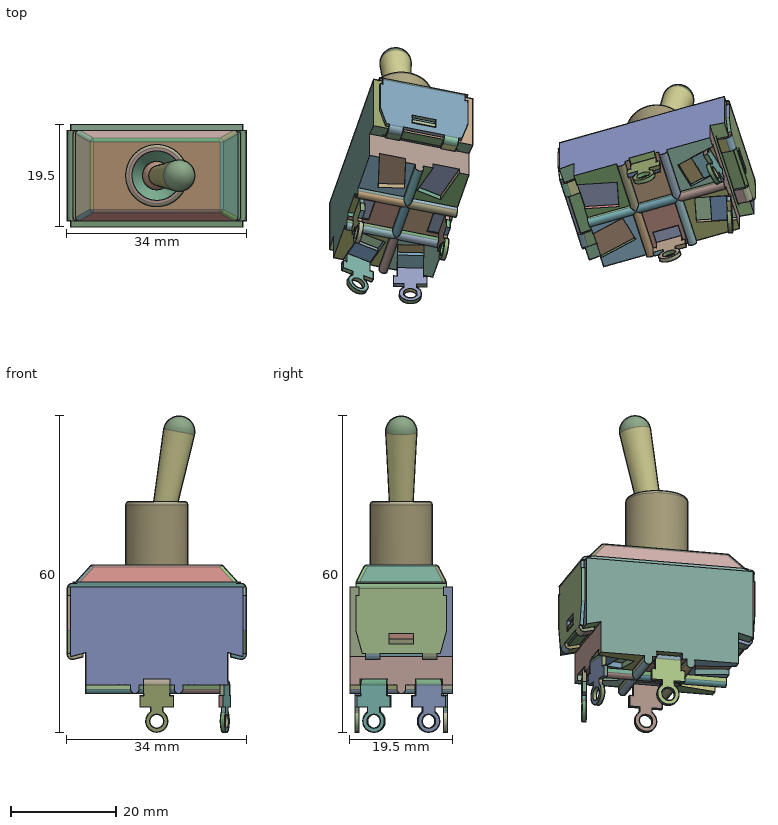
import cadquery as cq
import math


LEVER_TOP = 28.25
TOTAL_HEIGHT = 60.04

BODY_WIDTH = 32.7
BODY_DEPTH = 19.5
BODY_TOP = -4.2
LOWER_WIDTH = 27.0
LOWER_BOTTOM = -22.8
STEP_INNER_Z = -16.7
STEP_OUTER_Z = -17.42
STEP_SLOPE = math.atan2(STEP_INNER_Z - STEP_OUTER_Z, (BODY_WIDTH - LOWER_WIDTH) / 2)

RIB_WIDTH = 1.6
RIB_HEIGHT = 1.65
RIB_X = 4.15

COVER_WIDTH = 34.0
SHEET = (COVER_WIDTH - BODY_WIDTH) / 2
COVER_DEPTH = 17.2
FLANGE_TOP = -3.5
BEND_RADIUS = 1.0
RELIEF_DEPTH = 16.1
RELIEF_BOTTOM = -5.8
TAPER_TOP = -12.5
SKIRT_BOTTOM = -16.85
SKIRT_BOTTOM_DEPTH = 14.8
HOOK_Y = 5.43
HOOK_WIDTH = 2.8
HOOK_TIP_X = 14.0
DOME_BASE = (30.8, COVER_DEPTH)
DOME_TOP = (24.8, 13.8)
DOME_ROUND = 0.85
PAD_LENGTH = 31.8
PAD_TOP = -3.3
PAD_CORNER = 0.8

WINDOW_WIDTH = 4.6
WINDOW_TOP = -13.0
WINDOW_BOTTOM = -15.05
LATCH_TOP = -14.05
LATCH_PROUD = 0.5

BUSHING_RADIUS = 5.9
BUSHING_HEIGHT = 12.0
BUSHING_ROUND = 0.6
MOUTH_RADIUS = 4.7
MOUTH_DEPTH = 2.8
PIVOT_RADIUS = 2.7
PIVOT_Z = 3.0
LEVER_TIP_RADIUS = 3.0
LEVER_ROOT_RADIUS = 1.82
LEVER_TILT = 10.8
LEVER_LENGTH = (LEVER_TOP - LEVER_TIP_RADIUS - PIVOT_Z) / math.cos(math.radians(LEVER_TILT))

LUG_THICKNESS = 0.8
LUG_BEND_RADIUS = 1.1
LUG_TOP = -21.7
LUG_STEM_WIDTH = 5.0
LUG_SHOULDER_WIDTH = 6.4
LUG_SHOULDER_TOP = -24.85
LUG_SHOULDER_BOTTOM = -27.0
LUG_NECK_WIDTH = 2.35
EYE_RADIUS = 2.1
EYE_BLEND = 0.4
EYE_HOLE_RADIUS = 1.3
EYE_Z = LEVER_TOP - TOTAL_HEIGHT + EYE_RADIUS
LUG_LEG = 4.0
SIDE_LUG_Y = 8.8
END_LUG_X = 13.3
END_LUG_Y = 5.27
END_LUG_TILT = 13.0

END_SLOT_WIDTH = LUG_STEM_WIDTH
END_SLOT_DEPTH = 7.1
SIDE_SLOT_DEPTH = 4.0


def box(x0, x1, y0, y1, z0, z1):
    """Box between the given limits along X, Y and Z."""
    return cq.Workplane("XY").box(x1 - x0, y1 - y0, z1 - z0, centered=False).translate((x0, y0, z0))


def make_body():
    upper = BODY_WIDTH / 2
    lower = LOWER_WIDTH / 2
    outline = [
        (-upper, BODY_TOP), (upper, BODY_TOP), (upper, STEP_OUTER_Z), (lower, STEP_INNER_Z),
        (lower, LOWER_BOTTOM), (-lower, LOWER_BOTTOM), (-lower, STEP_INNER_Z), (-upper, STEP_OUTER_Z),
    ]
    return cq.Workplane("XZ").polyline(outline).close().extrude(BODY_DEPTH / 2, both=True)


def make_rib(length):
    """Rib along X under the body, with a half-round lower edge."""
    half = RIB_WIDTH / 2
    round_start = LOWER_BOTTOM - RIB_HEIGHT + half
    return (
        cq.Workplane("YZ")
        .moveTo(-half, LOWER_BOTTOM)
        .lineTo(-half, round_start)
        .threePointArc((0, round_start - half), (half, round_start))
        .lineTo(half, LOWER_BOTTOM)
        .close()
        .extrude(length)
        .translate((-length / 2, 0, 0))
    )


def make_ribs():
    ribs = make_rib(LOWER_WIDTH)
    cross_rib = make_rib(BODY_DEPTH).rotate((0, 0, 0), (0, 0, 1), 90)
    for x in (-RIB_X, RIB_X):
        ribs = ribs.union(cross_rib.translate((x, 0, 0)))
    return ribs


def make_dome():
    """Raised top of the cover, a rounded frustum on a thin pad."""
    dome = (
        cq.Workplane("XY").workplane(offset=PAD_TOP).rect(*DOME_BASE)
        .workplane(offset=-PAD_TOP).rect(*DOME_TOP)
        .loft(ruled=True)
    )
    half_length = PAD_LENGTH / 2
    half_depth = COVER_DEPTH / 2
    pad = box(-half_length, half_length, -half_depth, half_depth, BODY_TOP, PAD_TOP)
    return dome.edges("not <Z").fillet(DOME_ROUND).union(pad.edges("|Z").fillet(PAD_CORNER))


def make_cover_strip():
    """Sheet strip folded over the body top, down both ends and under the steps."""
    outer = COVER_WIDTH / 2
    hook_drop = SHEET / math.cos(STEP_SLOPE)
    step_mid = LOWER_WIDTH / 2
    corner_z = STEP_INNER_Z - (outer - step_mid) * math.tan(STEP_SLOPE) - hook_drop
    tip_z = STEP_INNER_Z - (HOOK_TIP_X - step_mid) * math.tan(STEP_SLOPE) - hook_drop
    outline = [
        (-outer, FLANGE_TOP), (outer, FLANGE_TOP), (outer, corner_z), (HOOK_TIP_X, tip_z),
        (HOOK_TIP_X, BODY_TOP), (-HOOK_TIP_X, BODY_TOP), (-HOOK_TIP_X, tip_z), (-outer, corner_z),
    ]
    strip = cq.Workplane("XZ").polyline(outline).close().extrude(COVER_DEPTH / 2, both=True)
    strip = strip.edges("|Y and (<X or >X)").fillet(BEND_RADIUS)
    return strip.intersect(make_skirt_outline(corner_z)).cut(make_body())


def make_skirt_outline(bottom):
    """Prism along X holding the end outline of the cover and its hooks."""
    full = COVER_DEPTH / 2
    relief = RELIEF_DEPTH / 2
    narrow = SKIRT_BOTTOM_DEPTH / 2
    right_side = [
        (full, FLANGE_TOP), (full, BODY_TOP), (relief, BODY_TOP), (relief, RELIEF_BOTTOM),
        (full, RELIEF_BOTTOM), (full, TAPER_TOP), (narrow, SKIRT_BOTTOM),
    ]
    left_side = [(-y, z) for y, z in reversed(right_side)]
    half_width = COVER_WIDTH / 2
    skirt = cq.Workplane("YZ").polyline(right_side + left_side).close().extrude(half_width, both=True)
    for y in (-HOOK_Y, HOOK_Y):
        hook = box(-half_width, half_width, y - HOOK_WIDTH / 2, y + HOOK_WIDTH / 2, bottom, SKIRT_BOTTOM)
        skirt = skirt.union(hook)
    return skirt


def make_windows():
    half_width = COVER_WIDTH / 2
    half_window = WINDOW_WIDTH / 2
    return box(-half_width, half_width, -half_window, half_window, WINDOW_BOTTOM, WINDOW_TOP)


def make_latches():
    reach = BODY_WIDTH / 2 + LATCH_PROUD
    half_window = WINDOW_WIDTH / 2
    return box(-reach, reach, -half_window, half_window, WINDOW_BOTTOM, LATCH_TOP)


def make_cover():
    return make_cover_strip().cut(make_windows()).union(make_dome())


def make_bushing():
    """Bushing with a conical mouth above the bore that holds the lever's pivot ball."""
    bushing = cq.Workplane("XY").circle(BUSHING_RADIUS).extrude(BUSHING_HEIGHT)
    bushing = bushing.faces(">Z").edges().fillet(BUSHING_ROUND)
    mouth_floor = BUSHING_HEIGHT - MOUTH_DEPTH
    mouth = (
        cq.Workplane("XY").workplane(offset=mouth_floor).circle(PIVOT_RADIUS)
        .workplane(offset=MOUTH_DEPTH).circle(MOUTH_RADIUS)
        .loft()
    )
    bore = (
        cq.Workplane("XY").workplane(offset=PIVOT_Z).circle(PIVOT_RADIUS)
        .extrude(mouth_floor - PIVOT_Z)
    )
    return bushing.cut(mouth).cut(bore)


def make_lever():
    """Tapered lever with a ball tip, tilted about its pivot ball."""
    lever = (
        cq.Workplane("XZ")
        .lineTo(LEVER_ROOT_RADIUS, 0)
        .lineTo(LEVER_TIP_RADIUS, LEVER_LENGTH)
        .radiusArc((0, LEVER_LENGTH + LEVER_TIP_RADIUS), -LEVER_TIP_RADIUS)
        .close()
        .revolve(360, (0, 0, 0), (0, 1, 0))
    )
    lever = lever.rotate((0, 0, 0), (0, 1, 0), LEVER_TILT)
    pivot = cq.Workplane("XY").sphere(PIVOT_RADIUS)
    return lever.union(pivot).translate((0, 0, PIVOT_Z))


def make_lug():
    """Solder lug whose outer face lies on Y = 0, facing -Y, with its leg running inward."""
    half_stem = LUG_STEM_WIDTH / 2
    half_shoulder = LUG_SHOULDER_WIDTH / 2
    half_neck = LUG_NECK_WIDTH / 2
    stem = box(-half_stem, half_stem, 0, LUG_LEG, LUG_SHOULDER_TOP, LUG_TOP)
    stem = stem.edges("|X and <Y and >Z").fillet(LUG_BEND_RADIUS)
    stem = stem.cut(
        box(-half_stem, half_stem, LUG_THICKNESS, LUG_LEG, LUG_SHOULDER_TOP, LUG_TOP - LUG_THICKNESS)
    )
    shoulder = box(
        -half_shoulder, half_shoulder, 0, LUG_THICKNESS, LUG_SHOULDER_BOTTOM, LUG_SHOULDER_TOP
    )
    neck = box(-half_neck, half_neck, 0, LUG_THICKNESS, EYE_Z, LUG_SHOULDER_BOTTOM)
    eye = cq.Workplane("XZ").center(0, EYE_Z).circle(EYE_RADIUS).extrude(-LUG_THICKNESS)
    hole = cq.Workplane("XZ").center(0, EYE_Z).circle(EYE_HOLE_RADIUS).extrude(-LUG_THICKNESS)
    eye = eye.union(neck)
    joint_z = EYE_Z + math.sqrt(EYE_RADIUS**2 - half_neck**2)
    joints = cq.selectors.BoxSelector(
        (-half_shoulder, -LUG_THICKNESS, joint_z - EYE_BLEND),
        (half_shoulder, 2 * LUG_THICKNESS, joint_z + EYE_BLEND),
    )
    eye = eye.edges("|Y").edges(joints).fillet(EYE_BLEND)
    return stem.union(shoulder).union(eye).cut(hole)


def make_lugs():
    """One lug at the middle of each long side and two tilted lugs at the +X end."""
    side_lug = make_lug().translate((0, -SIDE_LUG_Y, 0))
    end_lug = (
        make_lug()
        .rotate((0, 0, 0), (0, 0, 1), 90 - END_LUG_TILT)
        .translate((END_LUG_X, -END_LUG_Y, 0))
    )
    lugs = side_lug.union(end_lug)
    return lugs.union(lugs.mirror("XZ"))


def make_slots():
    """Slots above the lower edge: straight on the long sides, tilted at both ends."""
    half_stem = LUG_STEM_WIDTH / 2
    half_slot = END_SLOT_WIDTH / 2
    half_depth = BODY_DEPTH / 2
    side_slot = box(
        -half_stem, half_stem, -half_depth, SIDE_SLOT_DEPTH - half_depth, LOWER_BOTTOM, LUG_TOP
    )
    end_slot = (
        box(-END_SLOT_DEPTH, END_SLOT_DEPTH, -half_slot, half_slot, LOWER_BOTTOM, LUG_TOP)
        .rotate((0, 0, 0), (0, 0, 1), -END_LUG_TILT)
        .translate((LOWER_WIDTH / 2, -END_LUG_Y, 0))
    )
    slots = side_slot.union(end_slot).union(end_slot.mirror("YZ"))
    return slots.union(slots.mirror("XZ"))


body = make_body().cut(make_slots()).union(make_ribs()).union(make_latches())
top = make_cover().union(make_bushing()).union(make_lever())
result = body.union(top).union(make_lugs())